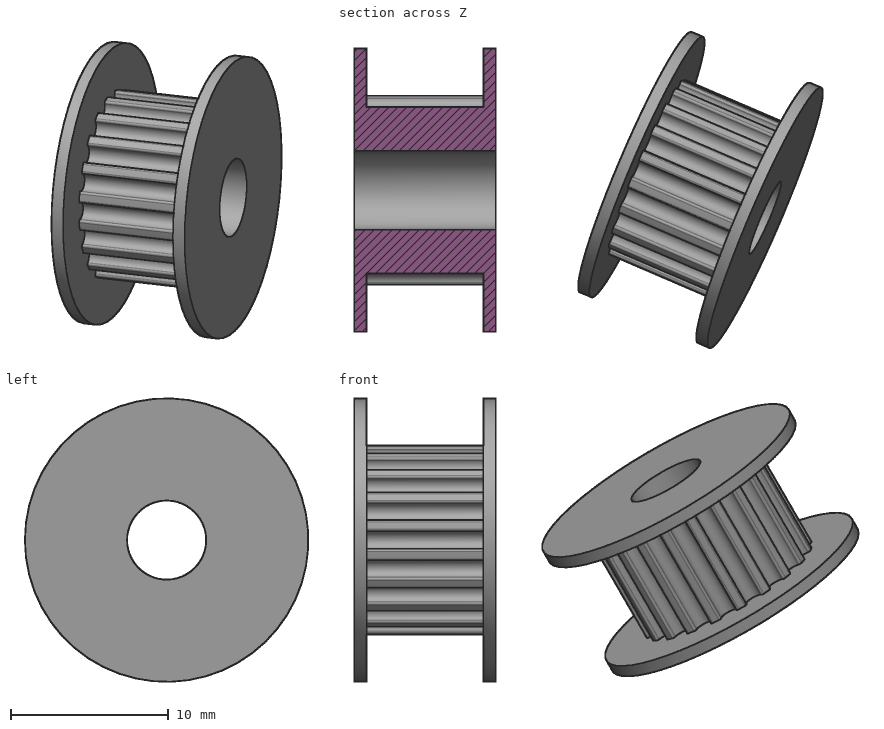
import cadquery as cq

flange_diameter = 18.0
pulley_width = flange_diameter / 2
flange_thickness = 0.8
belt_width = pulley_width - 2 * flange_thickness
bore_diameter = 5.0

drum_diameter = 12.1
groove_count = 20
groove_radius = 0.55
groove_depth = 0.75
lip_radius = 0.15

groove_pitch_angle = 360 / groove_count
drum_radius = drum_diameter / 2
groove_centre_radius = drum_radius - groove_depth + groove_radius


def disc(diameter, thickness, start_x):
    """Solid disc about the X axis, extending toward +X from start_x."""
    return cq.Workplane("YZ", origin=(start_x, 0, 0)).circle(diameter / 2).extrude(thickness)


def groove_cutter(angle):
    """U-shaped bar with a semicircular inner end and straight radial flanks."""
    profile = (
        cq.Workplane("YZ", origin=(-belt_width / 2, 0, 0))
        .moveTo(drum_diameter, groove_radius)
        .lineTo(groove_centre_radius, groove_radius)
        .threePointArc(
            (groove_centre_radius - groove_radius, 0),
            (groove_centre_radius, -groove_radius),
        )
        .lineTo(drum_diameter, -groove_radius)
        .close()
    )
    return profile.extrude(belt_width).rotate((0, 0, 0), (1, 0, 0), angle)


def toothed_drum():
    drum = disc(drum_diameter, belt_width, -belt_width / 2)
    for index in range(groove_count):
        drum = drum.cut(groove_cutter(index * groove_pitch_angle))

    inner_core = disc(2 * groove_centre_radius + lip_radius, belt_width, -belt_width / 2)
    lip_edges = [
        edge
        for edge in drum.edges("|X").vals()
        if not inner_core.val().isInside(edge.Center())
    ]
    return drum.newObject(lip_edges).fillet(lip_radius)


left_flange = disc(flange_diameter, flange_thickness, -pulley_width / 2)
right_flange = disc(flange_diameter, flange_thickness, belt_width / 2)
bore = disc(bore_diameter, pulley_width, -pulley_width / 2)

result = toothed_drum().union(left_flange).union(right_flange).cut(bore)